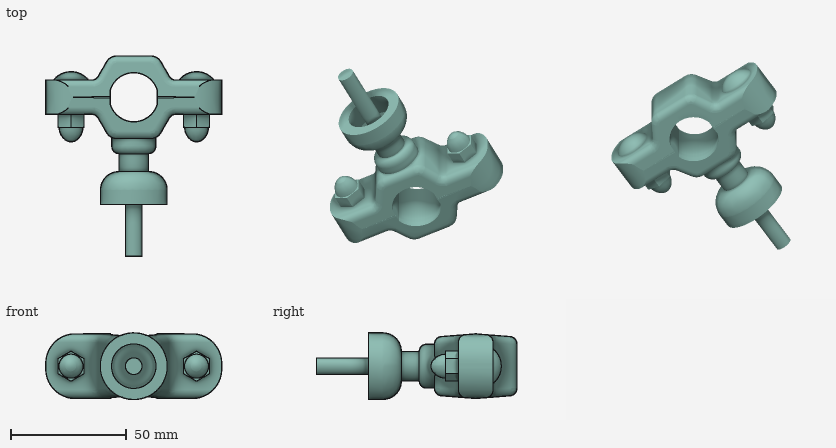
import cadquery as cq
import math

length = 86.7
hex_apothem = 17.85
lug_thickness = 14.9
width = 76.2
half_height = 14.0
roof_angle = 4.5
lug_end_radius = 12.9
body_corner_radius = 5.2
lug_root_radius = 3.0
rim_radius = 3.3

bore_radius = 10.6
bore_half_width = 10.05

overlap = 0.39

bolt_x = 27.1
head_radius = 7.5
head_height = 3.6
nut_across_flats = 11.3
nut_height = 5.55
cap_radius = 5.2
cap_flank_radius = 6.85
cap_tip_radius = 2.3

collar_radius = 9.5
collar_length = 6.6
collar_round = 3.2
neck_radius = 6.4
neck_length = 7.6
cup_radius = 14.5
cup_length = 14.3
cup_bore_radius = 9.6
cup_bore_depth = 9.45
rod_diameter = 7.2

lug_face = lug_thickness / 2
lug_reach = width / 2
rod_radius = rod_diameter / 2
cup_round = cup_radius - neck_radius
hex_half_side = hex_apothem * math.tan(math.radians(30))
lug_root_x = (2 * hex_apothem - lug_face) * math.tan(math.radians(30))
roof_slope = math.tan(math.radians(roof_angle))


def upright_edges(x, y):
    """Selector for the pair of edges along Z at (x, y) and (-x, y)."""
    reach = 0.9
    right, left = [
        cq.selectors.BoxSelector(
            (side * x - reach, y - reach, -reach),
            (side * x + reach, y + reach, reach),
        )
        for side in (1, -1)
    ]
    return right + left


def clamp_half():
    """The +Y half of the clamp, before boring."""
    right_side = [
        (0, -overlap),
        (bore_half_width, -overlap),
        (bolt_x, 0),
        (lug_reach, 0),
        (lug_reach, lug_face),
        (lug_root_x, lug_face),
        (hex_half_side, hex_apothem),
    ]
    left_side = [(-x, y) for x, y in reversed(right_side[1:])]
    block = cq.Workplane("XY").polyline(right_side + left_side).close().extrude(half_height, both=True)

    outer_height = half_height - (hex_apothem + overlap) * roof_slope
    roof = (
        cq.Workplane("YZ")
        .polyline([
            (-overlap, -half_height),
            (-overlap, half_height),
            (hex_apothem, outer_height),
            (hex_apothem, -outer_height),
        ])
        .close()
        .extrude(lug_reach, both=True)
    )
    half = block.intersect(roof)

    half = half.edges(upright_edges(hex_half_side, hex_apothem)).fillet(body_corner_radius)
    half = half.edges(upright_edges(lug_root_x, lug_face)).fillet(lug_root_radius)

    return half.faces(">Y").edges("|X").fillet(rim_radius)


def clamp():
    half = clamp_half()
    body = half.union(half.mirror("XZ"))
    end_profile = (
        cq.Workplane("XZ")
        .rect(2 * lug_reach, 2 * half_height)
        .extrude(hex_apothem, both=True)
        .edges("|Y")
        .fillet(lug_end_radius)
    )
    bore = (
        cq.Workplane("XY")
        .circle(bore_radius)
        .extrude(half_height, both=True)
        .intersect(cq.Workplane("XY").box(2 * bore_half_width, 2 * bore_radius, 2 * half_height))
    )
    return body.intersect(end_profile).cut(bore)


def bolt_head():
    """Spherical cap on the back of a lug, on the Y axis."""
    sphere_radius = (head_radius**2 + head_height**2) / (2 * head_height)
    return (
        cq.Workplane("XY")
        .moveTo(0, lug_face)
        .lineTo(head_radius, lug_face)
        .radiusArc((0, lug_face + head_height), -sphere_radius)
        .close()
        .revolve(360, (0, 0, 0), (0, 1, 0))
    )


def cap_nut():
    """Hexagon nut with a domed cap on the front of a lug, on the Y axis."""
    nut = (
        cq.Workplane("XZ", origin=(0, -lug_face, 0))
        .polygon(6, nut_across_flats, circumscribed=True)
        .extrude(nut_height)
    )
    flank_cosine = 1 - (cap_radius - cap_tip_radius) / cap_flank_radius
    flank_sine = math.sqrt(1 - flank_cosine**2)
    tip_sphere_radius = cap_tip_radius / flank_cosine
    base_y = -lug_face - nut_height
    tip_circle_y = base_y - cap_flank_radius * flank_sine
    tip_y = tip_circle_y - tip_sphere_radius * (1 - flank_sine)
    cap = (
        cq.Workplane("XY")
        .moveTo(0, base_y)
        .lineTo(cap_radius, base_y)
        .radiusArc((cap_tip_radius, tip_circle_y), cap_flank_radius)
        .radiusArc((0, tip_y), tip_sphere_radius)
        .close()
        .revolve(360, (0, 0, 0), (0, 1, 0))
    )
    return nut.union(cap)


def stem():
    collar_end = -hex_apothem - collar_length
    neck_end = collar_end - neck_length
    cup_end = neck_end - cup_length
    cup_floor = cup_end + cup_bore_depth
    rod_end = hex_apothem - length
    wall = hex_apothem - bore_radius
    start = -hex_apothem + wall / 2
    return (
        cq.Workplane("XY")
        .moveTo(0, start)
        .lineTo(collar_radius, start)
        .lineTo(collar_radius, collar_end + collar_round)
        .radiusArc((collar_radius - collar_round, collar_end), collar_round)
        .lineTo(neck_radius, collar_end)
        .lineTo(neck_radius, neck_end)
        .radiusArc((cup_radius, neck_end - cup_round), cup_round)
        .lineTo(cup_radius, cup_end)
        .lineTo(cup_bore_radius, cup_end)
        .lineTo(cup_bore_radius, cup_floor)
        .lineTo(rod_radius, cup_floor)
        .lineTo(rod_radius, rod_end)
        .lineTo(0, rod_end)
        .close()
        .revolve(360, (0, 0, 0), (0, 1, 0))
    )


result = clamp().union(stem())
for x in (-bolt_x, bolt_x):
    result = result.union(bolt_head().translate((x, 0, 0)))
    result = result.union(cap_nut().translate((x, 0, 0)))